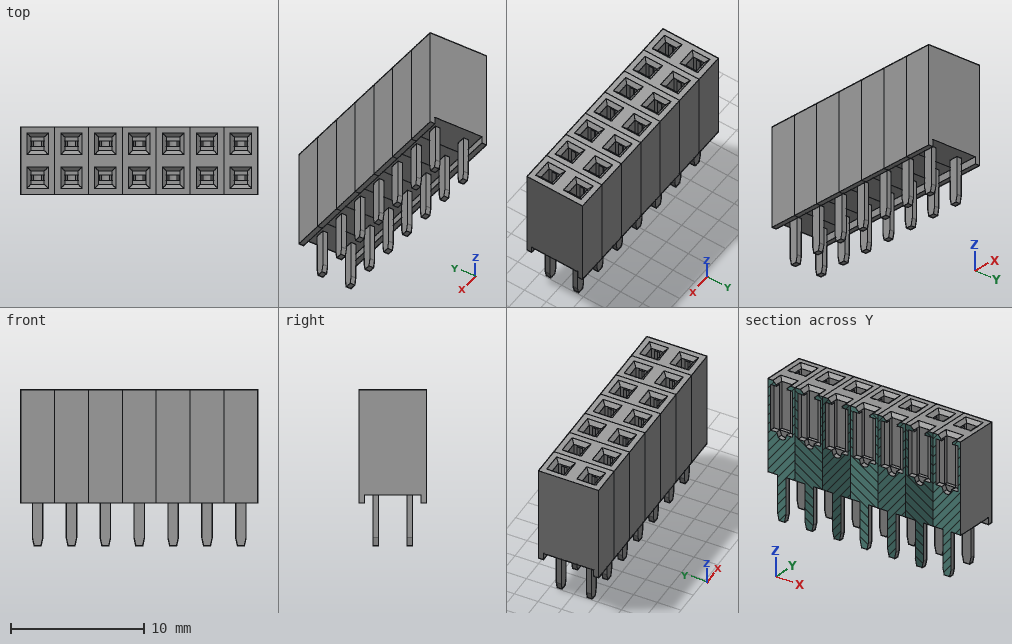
import cadquery as cq
import math


strip_length = 17.78
column_count = 7
row_count = 2
pitch = strip_length / column_count
segment_depth = row_count * pitch

housing_height = 8.5
skirt_height = 0.6
skirt_thickness = 0.43

socket_width = 1.0
lead_in = 0.3
socket_depth = 4.27
socket_floor_z = housing_height - socket_depth

contact_thickness = 0.43
slot_width = 2.0
slot_cover = 0.15
slot_top_z = housing_height - lead_in - slot_cover
groove_top_width = 0.89
groove_radius = 0.46
groove_arc_half_angle = math.radians(40)
groove_flank_angle = math.radians(69.5)

pin_width = 0.8
pin_length = 3.2
pin_tip_width = 0.53
pin_taper_length = 0.6


def centred_positions(count):
    """Evenly pitched positions centred on zero."""
    return [(i - (count - 1) / 2) * pitch for i in range(count)]


def extrude_contact_profile(profile):
    """Extrude an XZ outline by the contact thickness, centred on Y = 0."""
    return profile.extrude(contact_thickness / 2, both=True)


def make_housing():
    """Plain housing slice with a channel along X between two bottom skirts."""
    housing = cq.Workplane("XY").box(pitch, segment_depth, housing_height, centered=(True, True, False))
    channel_width = segment_depth - 2 * skirt_thickness
    channel = cq.Workplane("XY").box(pitch, channel_width, skirt_height, centered=(True, True, False))
    return housing.cut(channel)


def make_socket():
    """Square blind hole with a chamfered mouth."""
    hole = (
        cq.Workplane("XY", origin=(0, 0, socket_floor_z))
        .rect(socket_width, socket_width)
        .extrude(socket_depth)
    )
    mouth_width = socket_width + 2 * lead_in
    mouth = (
        cq.Workplane("XY", origin=(0, 0, housing_height))
        .rect(mouth_width, mouth_width)
        .workplane(offset=-lead_in)
        .rect(socket_width, socket_width)
        .loft(ruled=True)
    )
    return hole.union(mouth)


def make_contact_slot():
    """Slot that widens the socket along X, down to the top of the contact fork."""
    slot_height = slot_top_z - socket_floor_z
    return cq.Workplane("XY", origin=(0, 0, socket_floor_z)).box(
        slot_width, contact_thickness, slot_height, centered=(True, True, False)
    )


def make_fork_groove():
    """Groove between the contact tines: sloping flanks and a round bottom."""
    top_half = groove_top_width / 2
    arc_half = groove_radius * math.sin(groove_arc_half_angle)
    arc_end_z = socket_floor_z - (top_half - arc_half) * math.tan(groove_flank_angle)
    arc_bottom_z = arc_end_z - groove_radius * (1 - math.cos(groove_arc_half_angle))
    profile = (
        cq.Workplane("XZ")
        .moveTo(-top_half, socket_floor_z)
        .lineTo(-arc_half, arc_end_z)
        .threePointArc((0, arc_bottom_z), (arc_half, arc_end_z))
        .lineTo(top_half, socket_floor_z)
        .close()
    )
    return extrude_contact_profile(profile)


def make_pin():
    """Flat solder pin, tapered in width at its tip."""
    taper_top_z = pin_taper_length - pin_length
    profile = cq.Workplane("XZ").polyline(
        [
            (-pin_width / 2, skirt_height),
            (-pin_width / 2, taper_top_z),
            (-pin_tip_width / 2, -pin_length),
            (pin_tip_width / 2, -pin_length),
            (pin_width / 2, taper_top_z),
            (pin_width / 2, skirt_height),
        ]
    ).close()
    return extrude_contact_profile(profile)


def make_segment():
    """One complete segment centred on X = 0."""
    segment = make_housing()
    cavity = make_socket().union(make_contact_slot()).union(make_fork_groove())
    pin = make_pin()
    for row_y in centred_positions(row_count):
        segment = segment.cut(cavity.translate((0, row_y, 0)))
        segment = segment.union(pin.translate((0, row_y, 0)))
    return segment


segment = make_segment()
column_positions = centred_positions(column_count)
segments = [segment.translate((column_x, 0, 0)).solids().val() for column_x in column_positions]

result = cq.Compound.makeCompound(segments)